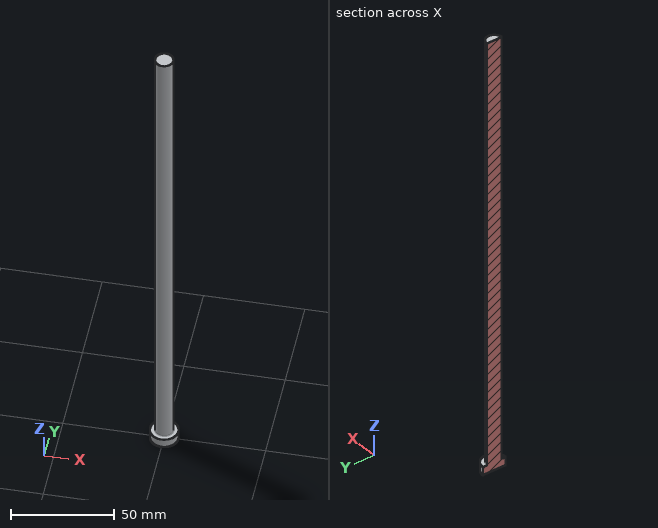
import cadquery as cq

total_length = 255.0
head_diameter = 14.0
head_height = 5.0
shank_diameter = 9.0
neck_fillet_radius = 0.2

head_radius = head_diameter / 2
shank_radius = shank_diameter / 2
neck_radius = shank_radius + neck_fillet_radius
neck_top = head_height + neck_fillet_radius


def half_profile():
    """Half section in the XZ plane, on the -X side of the axis."""
    return (
        cq.Workplane("XZ")
        .lineTo(-head_radius, 0)
        .lineTo(-head_radius, head_height)
        .lineTo(-neck_radius, head_height)
        .radiusArc((-shank_radius, neck_top), -neck_fillet_radius)
        .lineTo(-shank_radius, total_length)
        .lineTo(0, total_length)
        .close()
    )


result = half_profile().revolve(360, (0, 0), (0, 1))